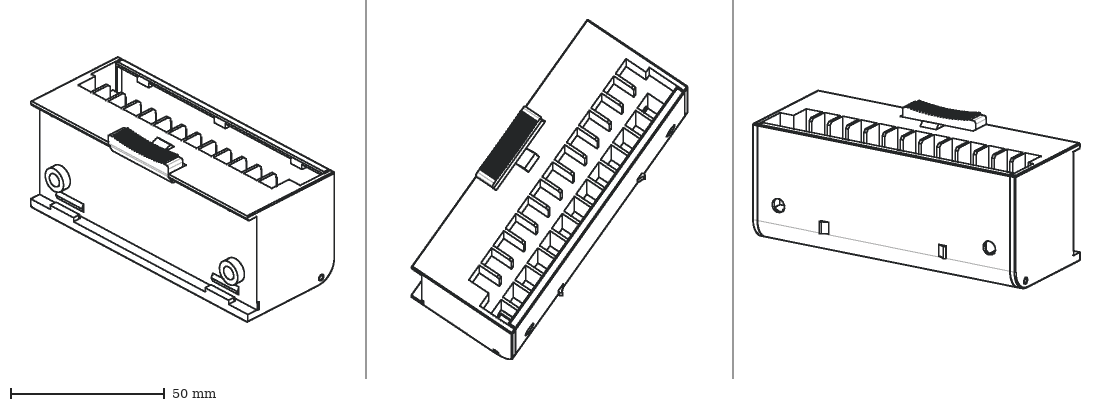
import cadquery as cq
import math

LENGTH = 100.8
DEPTH = 39.7
TOP = 40.4
WALL_FRONT = 4.0
FLANGE_HEIGHT = 3.0
LIP_UNDERSIDE = 38.6
LIP_EDGE_BOTTOM = 39.3
LIP_SLOPE_ANGLE = 30.0
LIP_SLOPE = math.tan(math.radians(LIP_SLOPE_ANGLE))
CORNER_RADIUS = 7.6
EDGE_CHAMFER = 0.4
SIDE_WALL = 1.9

COMPARTMENTS = 13
COMB_WIDTH = 89.9
RIB_THICKNESS = 1.0
LEDGE_Z = 30.1
FRONT_COMB_X = 3.8
FRONT_COMB_Y = 17.8
FRONT_COMB_END = 25.7
REAR_COMB_X = 7.2
REAR_COMB_Y = 28.7
REAR_COMB_END = 36.5
REAR_COMB_FLOOR = 10.1
COMB_CHAMFER = 0.9

BOSS_X = 10.0
BOSS_Z = 14.0
BOSS_DIAMETER = 8.5
BOSS_HOLE = 4.6
BOSS_FRONT = 1.0
FLANGE_TAB_X = 9.0
FLANGE_TAB_LENGTH = 10.9
FLANGE_TAB_TOP = 4.5
FLANGE_TAB_DEPTH = 2.7
FLANGE_TAB_FOOT = 0.4
BEAD_X = 8.3
BEAD_LENGTH = 12.1
BEAD_BOTTOM = 5.2
BEAD_HEIGHT = 3.0
BEAD_REACH = 0.7
NUB_X = 8.8
NUB_WIDTH = 0.9
NUB_DROP = 0.3

STOP_LENGTH = 0.2
STOP_DEPTH = 0.8
STOP_TOP = 5.9

GRIP_X = 36.0
GRIP_LENGTH = 28.0
GRIP_DEPTH = 6.6
GRIP_TOP = 43.3
GRIP_CORNER = 0.9
GRIP_HOOK_BOTTOM = 36.2
GRIP_HOOK_EDGE = 39.6
GRIP_HOOK_RADIUS = 1.6
TOOTH_COUNT = 21
TEETH_SPAN = 22.8
TOOTH_HEIGHT = 0.7
TOOTH_CREST = 0.5
TOOTH_BASE = 0.9
TOOTH_TOP_Z = 43.9
TEETH_SAG = 0.9
SLOT_WIDTH = 1.5
SLOT_DROP = 3.0
DETENT_LENGTH = 6.2
DETENT_PEAK = 3.6
DETENT_DEPTH = 5.2
DETENT_HEIGHT = 1.5

DOOR_SIDE_GAP = 0.2
DOOR_BACK_GAP = 0.1
DOOR_EDGE_CHAMFER = 0.4
DOOR_RIM_CHAMFER = 0.5
DOOR_RIM = 0.8
DOOR_RECESS = 2.0
DOOR_FOOT_FRONT = 31.3
DOOR_FOOT_TOP = 6.1
DOOR_TAB_LENGTH = 5.3
DOOR_TAB_DROP = 1.8
DOOR_TAB_SPACING = 35.6
PIVOT_Y = 33.3
PIVOT_Z = 2.8
PIVOT_HOLE = 2.2
PIVOT_PIN = 1.5
CLIP_X = 26.2
CLIP_BOTTOM = 7.8
CLIP_HEIGHT = 4.0
CLIP_OUTLINE = [(3.1, 0), (0.86, 1.0), (0.56, 1.5), (0, 0.8), (0.35, 0)]

OVERCUT = 1.0

COMB_PITCH = (COMB_WIDTH + RIB_THICKNESS) / COMPARTMENTS
TOOTH_PITCH = TEETH_SPAN / (TOOTH_COUNT - 1)
DOOR_RIM_BOTTOM = TOP - DOOR_RIM_CHAMFER - DOOR_RIM
INNER_LENGTH = LENGTH - 2 * SIDE_WALL
DOOR_X = SIDE_WALL + DOOR_SIDE_GAP
DOOR_LENGTH = LENGTH - 2 * DOOR_X
DOOR_FRONT = REAR_COMB_END + DOOR_BACK_GAP
GRIP_MIDDLE = GRIP_X + GRIP_LENGTH / 2


def block(x, y, z, length, depth, height):
    """Box with its lowest corner at (x, y, z)."""
    return cq.Workplane("XY").box(length, depth, height, centered=False).translate((x, y, z))


def bar(points, x, length):
    """Closed (y, z) outline extruded along X from x."""
    return cq.Workplane("YZ", origin=(x, 0, 0)).polyline(points).close().extrude(length)


def rod(y, z, diameter, x, length):
    """Cylinder along X."""
    return cq.Workplane("YZ", origin=(x, 0, 0)).center(y, z).circle(diameter / 2).extrude(length)


def boss_rod(x, diameter, y, length):
    """Cylinder along Y on a boss axis."""
    return cq.Workplane("XZ", origin=(x, y, BOSS_Z)).circle(diameter / 2).extrude(-length)


def both_ends(x, length):
    """Starting x of a feature and of its mirror image about the middle of the housing."""
    return (x, LENGTH - x - length)


def lip_slope_y(z, edge_z=LIP_EDGE_BOTTOM):
    """y at height z on the slope that runs back and down from the front edge at edge_z."""
    return (edge_z - z) * LIP_SLOPE


def housing_blank():
    """Solid block with a rounded lower rear corner and bevelled outer edges."""
    blank = block(0, 0, 0, LENGTH, DEPTH, TOP)
    blank = blank.edges(">Y and <Z").fillet(CORNER_RADIUS)
    blank = blank.edges(">Y and >Z").chamfer(EDGE_CHAMFER)
    for side in ("<X", ">X"):
        blank = blank.faces(side).edges("not <Y").chamfer(EDGE_CHAMFER)
    return blank


def front_recess():
    """Space in front of the wall, between the flange and the sloping lip."""
    outline = [
        (-OVERCUT, FLANGE_HEIGHT),
        (WALL_FRONT, FLANGE_HEIGHT),
        (WALL_FRONT, LIP_UNDERSIDE),
        (lip_slope_y(LIP_UNDERSIDE), LIP_UNDERSIDE),
        (0, LIP_EDGE_BOTTOM),
        (-OVERCUT, LIP_EDGE_BOTTOM),
    ]
    return bar(outline, 0, LENGTH)


def door_opening():
    """Space between the side walls that the door and its foot fill."""
    foot_front = DOOR_FOOT_FRONT - DOOR_BACK_GAP
    foot_top = DOOR_FOOT_TOP + DOOR_BACK_GAP
    behind = DEPTH + OVERCUT
    outline = [
        (foot_front, -OVERCUT),
        (behind, -OVERCUT),
        (behind, TOP + OVERCUT),
        (REAR_COMB_END, TOP + OVERCUT),
        (REAR_COMB_END, foot_top),
        (foot_front, foot_top),
    ]
    return bar(outline, SIDE_WALL, INNER_LENGTH)


def comb_compartments(x, y, depth, floor):
    """Row of compartments that leaves a thin rib between neighbours."""
    width = COMB_PITCH - RIB_THICKNESS
    row = cq.Workplane("XY")
    for index in range(COMPARTMENTS):
        left = x + index * COMB_PITCH
        row = row.union(block(left, y, floor, width, depth, TOP + OVERCUT - floor))
    return row


def comb_chamfer(x, length, y, z):
    """Wedge that bevels the rear upper edge at (y, z)."""
    return bar([(y, z), (y - COMB_CHAMFER, z), (y, z - COMB_CHAMFER)], x, length)


def carve_interior(housing):
    rear_space = block(
        SIDE_WALL, FRONT_COMB_END, LEDGE_Z, INNER_LENGTH, REAR_COMB_END - FRONT_COMB_END, TOP
    )
    housing = housing.cut(door_opening()).cut(rear_space)
    housing = housing.cut(comb_chamfer(FRONT_COMB_X, COMB_WIDTH, FRONT_COMB_END, TOP))
    housing = housing.cut(comb_chamfer(SIDE_WALL, INNER_LENGTH, REAR_COMB_END, LEDGE_Z))
    front_depth = FRONT_COMB_END - FRONT_COMB_Y
    rear_depth = REAR_COMB_END - REAR_COMB_Y
    housing = housing.cut(comb_compartments(FRONT_COMB_X, FRONT_COMB_Y, front_depth, LEDGE_Z))
    return housing.cut(comb_compartments(REAR_COMB_X, REAR_COMB_Y, rear_depth, REAR_COMB_FLOOR))


def add_front_details(housing):
    for x in both_ends(FLANGE_TAB_X, FLANGE_TAB_LENGTH):
        tab = [
            (0, FLANGE_HEIGHT),
            (FLANGE_TAB_DEPTH + FLANGE_TAB_FOOT, FLANGE_HEIGHT),
            (FLANGE_TAB_DEPTH, FLANGE_HEIGHT + FLANGE_TAB_FOOT),
            (FLANGE_TAB_DEPTH, FLANGE_TAB_TOP),
            (0, FLANGE_TAB_TOP),
        ]
        housing = housing.union(bar(tab, x, FLANGE_TAB_LENGTH))
    for x in both_ends(BEAD_X, BEAD_LENGTH):
        bead = [
            (WALL_FRONT, BEAD_BOTTOM),
            (WALL_FRONT - BEAD_REACH, BEAD_BOTTOM + BEAD_HEIGHT / 2),
            (WALL_FRONT, BEAD_BOTTOM + BEAD_HEIGHT),
        ]
        housing = housing.union(bar(bead, x, BEAD_LENGTH))
    for x in both_ends(NUB_X, NUB_WIDTH):
        nub_bottom = LIP_UNDERSIDE - NUB_DROP
        nub = [
            (WALL_FRONT, LIP_UNDERSIDE),
            (lip_slope_y(LIP_UNDERSIDE), LIP_UNDERSIDE),
            (lip_slope_y(nub_bottom), nub_bottom),
            (WALL_FRONT, nub_bottom),
        ]
        housing = housing.union(bar(nub, x, NUB_WIDTH))
    for x in both_ends(BOSS_X, 0):
        housing = housing.union(boss_rod(x, BOSS_DIAMETER, BOSS_FRONT, WALL_FRONT - BOSS_FRONT))
    return housing


def add_end_stop(housing):
    return housing.union(
        block(LENGTH, WALL_FRONT, FLANGE_HEIGHT, STOP_LENGTH, STOP_DEPTH, STOP_TOP - FLANGE_HEIGHT)
    )


def teeth_curve_z(x, end_z):
    """Height on the hollow arc that falls from end_z at the outer teeth to the middle one."""
    half_span = TEETH_SPAN / 2
    radius = (half_span**2 + TEETH_SAG**2) / (2 * TEETH_SAG)
    return end_z - TEETH_SAG + radius - math.sqrt(radius**2 - (x - GRIP_MIDDLE) ** 2)


def tooth_points(index):
    middle = GRIP_MIDDLE + (index - (TOOTH_COUNT - 1) / 2) * TOOTH_PITCH
    crest_z = teeth_curve_z(middle, TOOTH_TOP_Z)
    root_z = crest_z - TOOTH_HEIGHT
    return [
        (middle - TOOTH_BASE / 2, root_z),
        (middle - TOOTH_CREST / 2, crest_z),
        (middle + TOOTH_CREST / 2, crest_z),
        (middle + TOOTH_BASE / 2, root_z),
    ]


def grip_block():
    left = GRIP_X
    right = GRIP_X + GRIP_LENGTH
    teeth = [point for index in range(TOOTH_COUNT) for point in tooth_points(index)]
    first_root_x = teeth[0][0]
    last_root_x = teeth[-1][0]
    outline = (
        cq.Workplane("XZ")
        .moveTo(left, TOP)
        .lineTo(left, GRIP_TOP - GRIP_CORNER)
        .radiusArc((left + GRIP_CORNER, GRIP_TOP), GRIP_CORNER)
        .lineTo(first_root_x, GRIP_TOP)
    )
    for point in teeth[1:-1]:
        outline = outline.lineTo(*point)
    return (
        outline.lineTo(last_root_x, GRIP_TOP)
        .lineTo(right - GRIP_CORNER, GRIP_TOP)
        .radiusArc((right, GRIP_TOP - GRIP_CORNER), GRIP_CORNER)
        .lineTo(right, TOP)
        .close()
        .extrude(-GRIP_DEPTH)
    )


def grip_hook():
    """Slope under the grip, rounded where it meets the upright front."""
    bend = GRIP_HOOK_RADIUS * math.tan(math.radians(LIP_SLOPE_ANGLE / 2))
    drop = bend * math.cos(math.radians(LIP_SLOPE_ANGLE))
    bend_bottom = GRIP_HOOK_EDGE - drop
    return (
        cq.Workplane("YZ", origin=(GRIP_X, 0, 0))
        .moveTo(0, TOP)
        .lineTo(0, GRIP_HOOK_EDGE + bend)
        .radiusArc((lip_slope_y(bend_bottom, GRIP_HOOK_EDGE), bend_bottom), -GRIP_HOOK_RADIUS)
        .lineTo(lip_slope_y(GRIP_HOOK_BOTTOM, GRIP_HOOK_EDGE), GRIP_HOOK_BOTTOM)
        .lineTo(WALL_FRONT, GRIP_HOOK_BOTTOM)
        .lineTo(WALL_FRONT, TOP)
        .close()
        .extrude(GRIP_LENGTH)
    )


def grip_slot():
    """Sloping slot in the top, just behind the grip."""
    slot_rear = GRIP_DEPTH + SLOT_WIDTH
    outline = [(GRIP_DEPTH, TOP), (slot_rear, TOP), (GRIP_DEPTH, TOP - SLOT_DROP)]
    return bar(outline, GRIP_X, GRIP_LENGTH)


def detent_ramp():
    front = GRIP_DEPTH + SLOT_WIDTH
    outline = [
        (front, TOP),
        (front + DETENT_PEAK, TOP + DETENT_HEIGHT),
        (front + DETENT_DEPTH, TOP),
    ]
    return bar(outline, GRIP_MIDDLE - DETENT_LENGTH / 2, DETENT_LENGTH)


def build_housing():
    housing = carve_interior(housing_blank().cut(front_recess()))
    housing = add_end_stop(add_front_details(housing))
    lip_gap = block(GRIP_X, 0, LIP_UNDERSIDE, GRIP_LENGTH, WALL_FRONT, TOP - LIP_UNDERSIDE)
    housing = housing.cut(lip_gap).union(grip_hook()).union(grip_block())
    housing = housing.cut(grip_slot()).union(detent_ramp())
    for x in both_ends(BOSS_X, 0):
        housing = housing.cut(boss_rod(x, BOSS_HOLE, 0, DEPTH))
    return housing.cut(rod(PIVOT_Y, PIVOT_Z, PIVOT_HOLE, 0, LENGTH))


def door_panel():
    panel = bar(
        [
            (DOOR_FOOT_FRONT, 0),
            (DEPTH, 0),
            (DEPTH, TOP),
            (DOOR_FRONT, TOP),
            (DOOR_FRONT, DOOR_FOOT_TOP),
            (DOOR_FOOT_FRONT, DOOR_FOOT_TOP),
        ],
        DOOR_X,
        DOOR_LENGTH,
    )
    panel = panel.edges("|X").edges(">Y and <Z").fillet(CORNER_RADIUS)
    panel = panel.faces(">Z").edges("<Y").chamfer(DOOR_RIM_CHAMFER)
    return panel.faces(">Z").edges("not <Y").chamfer(DOOR_EDGE_CHAMFER)


def door_recess():
    """Shallow recess in the inner face, framed by the rim."""
    bottom = DOOR_FOOT_TOP + DOOR_RIM
    height = DOOR_RIM_BOTTOM - bottom
    return block(
        DOOR_X + DOOR_RIM, DOOR_FRONT, bottom, DOOR_LENGTH - 2 * DOOR_RIM, DOOR_RECESS, height
    )


def door_tab(x_middle):
    """Tab that hangs from the top rim, flush with it."""
    left = x_middle - DOOR_TAB_LENGTH / 2
    bottom = DOOR_RIM_BOTTOM - DOOR_TAB_DROP
    return block(left, DOOR_FRONT, bottom, DOOR_TAB_LENGTH, DOOR_RECESS, DOOR_TAB_DROP)


def door_clip():
    """Small hooked lug on the outer face, with its tip toward the left."""
    base = cq.Workplane("XY", origin=(CLIP_X, DEPTH, CLIP_BOTTOM))
    return base.polyline(CLIP_OUTLINE).close().extrude(CLIP_HEIGHT)


def build_door():
    door = door_panel().cut(door_recess())
    for step in (-1, 0, 1):
        door = door.union(door_tab(LENGTH / 2 + step * DOOR_TAB_SPACING))
    clip = door_clip()
    door = door.union(clip).union(clip.mirror("YZ", (LENGTH / 2, 0, 0)))
    for x in both_ends(BOSS_X, 0):
        door = door.cut(boss_rod(x, BOSS_HOLE, 0, DEPTH))
    return door.union(rod(PIVOT_Y, PIVOT_Z, PIVOT_PIN, 0, LENGTH))


housing = build_housing()
door = build_door()
result = cq.Compound.makeCompound([housing.val(), door.val()])